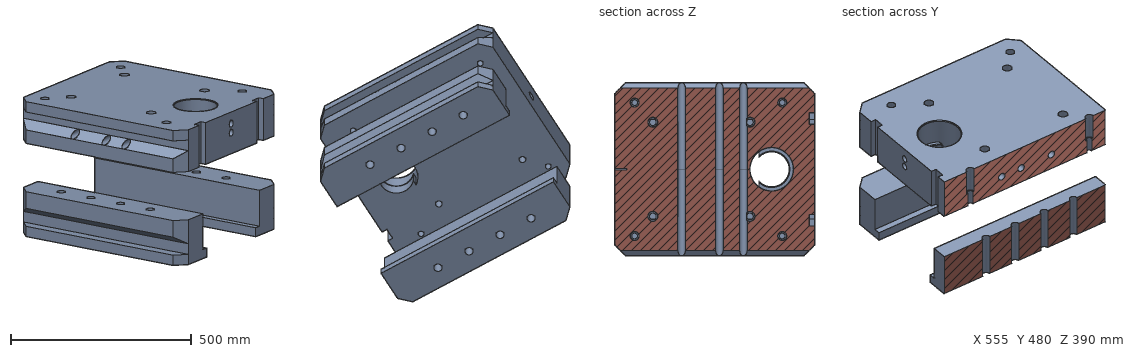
import cadquery as cq
import math

length = 555.0
width = 480.0
total_height = 390.0
corner_chamfer = 30.5

flange_height = 30.0
groove_height = 30.5
groove_depth = corner_chamfer
groove_angle = 35.0
flare_height = groove_depth * math.tan(math.radians(groove_angle))

screw_row_y = 185.0

plate_height = 121.0
plate_bottom = total_height - plate_height

rail_height = 130.0
rail_web_inner_y = 138.0
rail_foot_inner_y = 119.5
rail_foot_height = 26.0
rail_hole_diameter = 23.0
rail_hole_count = 4
rail_hole_pitch = 100.0
rail_hole_mid_x = -17.0

outer_screw_xs = (-222.0, 187.0)
outer_screw_head = 24.0
outer_screw_shank = 16.0
inner_screw_xs = (-171.5, 97.5)
inner_screw_y = 130.5
inner_screw_head = 26.5
inner_screw_shank = 18.5
screw_head_depth = 77.5

bore_x = 157.5
bore_radius = 60.0
bore_depth = 74.5
ledge_radius = 48.5
bore_chamfer = 2.0

recess_end_x = 122.0

cross_hole_xs = (-91.5, 13.0, 79.5)
cross_hole_diameter = 20.5
cross_hole_drop = 71.5

end_hole_drop = 60.0
end_hole_diameter = 19.5
end_hole_mouth_diameter = 24.0
end_hole_mouth_depth = 33.5
end_hole_depth = 55.5
drill_tip_angle = 118.0
bore_feed_drops = (34.0, end_hole_drop)

notch_depth = 15.5
notch_width = 31.0
notch_y = 141.0


def chamfered_block(height):
    """Full-size block standing on Z = 0, with its vertical corners chamfered."""
    block = cq.Workplane("XY").box(length, width, height, centered=(True, True, False))
    return block.edges("|Z").chamfer(corner_chamfer)


def side_groove(side, flange_face_z, direction):
    """Groove cutter on one long side; direction points from the flange towards the flare."""
    outer_y = side * width / 2
    floor_y = side * (width / 2 - groove_depth)
    straight_z = flange_face_z + direction * flange_height
    flare_z = straight_z + direction * groove_height
    mouth_z = flare_z + direction * flare_height
    outline = [(outer_y, straight_z), (floor_y, straight_z), (floor_y, flare_z), (outer_y, mouth_z)]
    return cq.Workplane("YZ").polyline(outline).close().extrude(length / 2, both=True)


def stepped_holes(xs, y, head, shank):
    """Cutters for four stepped screw holes through the plate, mirrored about Y = 0."""
    places = [(x, side * y) for x in xs for side in (-1, 1)]
    plane = cq.Workplane("XY", origin=(0, 0, total_height)).pushPoints(places)
    heads = plane.circle(head / 2).extrude(-screw_head_depth)
    shanks = plane.circle(shank / 2).extrude(-plate_height)
    return heads.union(shanks)


def main_bore():
    """Bore with a narrower opening below its ledge, both chamfered at the top."""
    ledge_drop = bore_depth + bore_chamfer
    outline = [
        (0, 0),
        (bore_radius + bore_chamfer, 0),
        (bore_radius, -bore_chamfer),
        (bore_radius, -bore_depth),
        (ledge_radius + bore_chamfer, -bore_depth),
        (ledge_radius, -ledge_drop),
        (ledge_radius, -plate_height),
        (0, -plate_height),
    ]
    profile = cq.Workplane("XZ", origin=(bore_x, 0, total_height)).polyline(outline).close()
    return profile.revolve(360, (0, 0), (0, 1))


def ledge_recess():
    """Full-radius continuation of the bore below the ledge, kept only on the -X side of the cut face."""
    plane = cq.Workplane("XY", origin=(bore_x, 0, plate_bottom))
    cylinder = plane.circle(bore_radius).extrude(plate_height - bore_depth)
    keep_center_x = recess_end_x - bore_x - bore_radius
    keep = plane.center(keep_center_x, 0).rect(2 * bore_radius, 2 * bore_radius).extrude(plate_height)
    return cylinder.intersect(keep)


def cross_holes():
    places = [(x, total_height - cross_hole_drop) for x in cross_hole_xs]
    return cq.Workplane("XZ").pushPoints(places).circle(cross_hole_diameter / 2).extrude(width / 2, both=True)


def end_hole():
    """Blind stepped hole with a drill tip, entering from the -X face."""
    radius = end_hole_diameter / 2
    mouth_radius = end_hole_mouth_diameter / 2
    tip = radius / math.tan(math.radians(drill_tip_angle / 2))
    outline = [
        (0, 0),
        (0, mouth_radius),
        (end_hole_mouth_depth, mouth_radius),
        (end_hole_mouth_depth, radius),
        (end_hole_depth, radius),
        (end_hole_depth + tip, 0),
    ]
    plane = cq.Workplane("XZ", origin=(-length / 2, 0, total_height - end_hole_drop))
    profile = plane.polyline(outline).close()
    return profile.revolve(360, (0, 0), (1, 0))


def bore_feed_holes():
    """Holes from the main bore out through the +X face."""
    places = [(0, total_height - drop) for drop in bore_feed_drops]
    plane = cq.Workplane("YZ", origin=(bore_x, 0, 0)).pushPoints(places)
    return plane.circle(end_hole_diameter / 2).extrude(length / 2 - bore_x)


def edge_notches():
    places = [(length / 2 - notch_depth / 2, side * notch_y) for side in (-1, 1)]
    plane = cq.Workplane("XY", origin=(0, 0, plate_bottom)).pushPoints(places)
    return plane.rect(notch_depth, notch_width).extrude(plate_height)


def make_plate():
    plate = chamfered_block(plate_height).translate((0, 0, plate_bottom))
    for side in (-1, 1):
        plate = plate.cut(side_groove(side, total_height, -1))
    plate = plate.cut(stepped_holes(outer_screw_xs, screw_row_y, outer_screw_head, outer_screw_shank))
    plate = plate.cut(stepped_holes(inner_screw_xs, inner_screw_y, inner_screw_head, inner_screw_shank))
    plate = plate.cut(main_bore()).cut(ledge_recess())
    plate = plate.cut(cross_holes()).cut(end_hole()).cut(bore_feed_holes())
    return plate.cut(edge_notches())


def make_rail(side):
    """Rail on the -Y (side = -1) or +Y (side = 1) half, with a row of through holes."""
    outline = [
        (side * width / 2, 0),
        (side * rail_foot_inner_y, 0),
        (side * rail_foot_inner_y, rail_foot_height),
        (side * rail_web_inner_y, rail_foot_height),
        (side * rail_web_inner_y, rail_height),
        (side * width / 2, rail_height),
    ]
    section = cq.Workplane("YZ").polyline(outline).close().extrude(length / 2, both=True)
    rail = section.intersect(chamfered_block(rail_height)).cut(side_groove(side, 0, 1))
    first_x = rail_hole_mid_x - rail_hole_pitch * (rail_hole_count - 1) / 2
    places = [(first_x + i * rail_hole_pitch, side * screw_row_y) for i in range(rail_hole_count)]
    plane = cq.Workplane("XY", origin=(0, 0, rail_height)).pushPoints(places)
    return rail.cut(plane.circle(rail_hole_diameter / 2).extrude(-rail_height))


plate = make_plate()
rails = [make_rail(side) for side in (-1, 1)]
result = cq.Compound.makeCompound([plate.val(), *[rail.val() for rail in rails]])